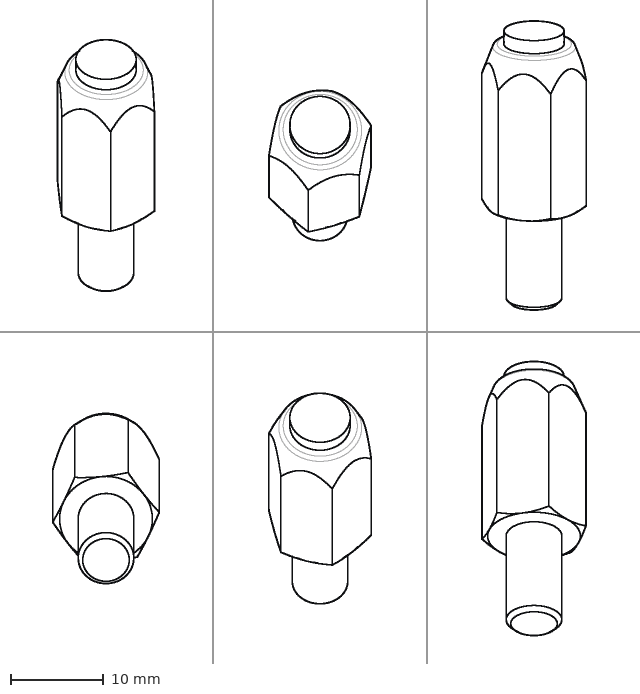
import cadquery as cq
import math

total_height = 31.0
across_flats = 10.0
stud_diameter = 6.0
stud_length = 11.0
stud_chamfer = 0.5
pin_diameter = 6.5
pin_height = 1.5
cone_angle = 20.5
cone_depth = 1.77
rim_fillet = 0.5
bottom_chamfer_angle = 30.0

hex_bottom = stud_length
hex_top = total_height - pin_height
flat_radius = across_flats / 2
corner_radius = flat_radius / math.cos(math.radians(30))


def make_turned_envelope():
    """Solid of revolution that trims the hexagon corners at both ends."""
    outer_radius = corner_radius + 0.3
    overhang = outer_radius - flat_radius
    lower_z = hex_bottom + overhang * math.tan(math.radians(bottom_chamfer_angle))
    cone_slope = math.tan(math.radians(cone_angle))
    upper_z = hex_top - cone_depth - overhang / cone_slope
    rim_radius = flat_radius - cone_depth * cone_slope
    profile = (
        cq.Workplane("XZ")
        .moveTo(0, hex_bottom)
        .lineTo(flat_radius, hex_bottom)
        .lineTo(outer_radius, lower_z)
        .lineTo(outer_radius, upper_z)
        .lineTo(rim_radius, hex_top)
        .lineTo(0, hex_top)
        .close()
    )
    envelope = profile.revolve(360, (0, 0, 0), (0, 1, 0))
    return envelope.faces(">Z").edges().fillet(rim_fillet)


def make_hex_body():
    """Hexagon with flats facing +X and -X, trimmed by the turned envelope."""
    prism = (
        cq.Workplane("XY")
        .workplane(offset=hex_bottom)
        .polygon(6, 2 * corner_radius)
        .extrude(hex_top - hex_bottom)
        .rotate((0, 0, 0), (0, 0, 1), 30)
    )
    return prism.intersect(make_turned_envelope())


def make_stud():
    """Lower stud with a chamfered tip."""
    stud = cq.Workplane("XY").circle(stud_diameter / 2).extrude(stud_length)
    return stud.faces("<Z").edges().chamfer(stud_chamfer)


def make_pin():
    """Short plain pin on top of the hexagon."""
    return (
        cq.Workplane("XY")
        .workplane(offset=hex_top)
        .circle(pin_diameter / 2)
        .extrude(pin_height)
    )


result = make_hex_body().union(make_stud()).union(make_pin())